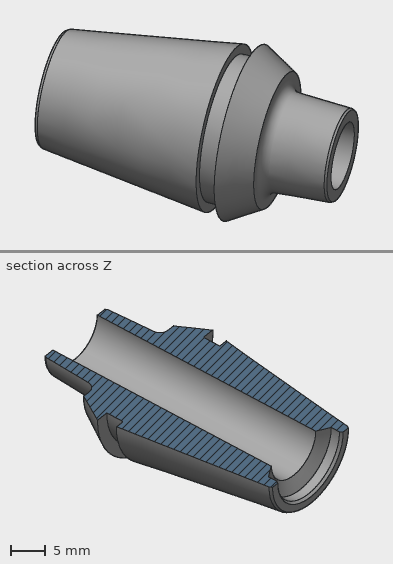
import cadquery as cq
import math

length = 44.0

rear_taper_end = 26.0
rear_edge_radius = 8.9
rear_taper_angle = 8.0
rear_chamfer_length = 0.45
rear_chamfer_depth = 0.25

groove_width = 3.0
groove_radius = 11.0
collar_radius = 13.1
collar_length = 5.0
collar_angle = 30.0

nose_tip_radius = 7.0
nose_angle = 3.2
nose_fillet = 1.5
tip_chamfer_length = 0.35
tip_chamfer_depth = 0.18

bore_radius = 5.0
pocket_radius = 7.1
pocket_depth = 2.0
pocket_cone_angle = 60.0
entry_chamfer_length = 0.45
entry_chamfer_depth = 0.3


def rise(run, angle):
    """Change in radius along a taper, with the angle measured from the axis."""
    return run * math.tan(math.radians(angle))


rear_taper_radius = rear_edge_radius + rise(rear_taper_end - rear_chamfer_length, rear_taper_angle)
collar_start = rear_taper_end + groove_width
collar_end = collar_start + collar_length
collar_end_radius = collar_radius - rise(collar_length, collar_angle)
tip_chamfer_start = length - tip_chamfer_length
pocket_cone_end = pocket_depth + (pocket_radius - bore_radius) / math.tan(math.radians(pocket_cone_angle))

nose_slope = math.radians(nose_angle)
fillet_end = collar_end + nose_fillet * (1 - math.sin(nose_slope))
fillet_end_radius = nose_tip_radius + rise(tip_chamfer_start - fillet_end, nose_angle)
fillet_center_x = collar_end + nose_fillet
fillet_center_radius = fillet_end_radius + nose_fillet * math.cos(nose_slope)
fillet_mid_angle = (math.pi / 2 - nose_slope) / 2
fillet_mid = (
    fillet_center_x - nose_fillet * math.cos(fillet_mid_angle),
    fillet_center_radius - nose_fillet * math.sin(fillet_mid_angle),
)


def turn(profile):
    """Revolve a closed half profile a full turn about the X axis."""
    return profile.close().revolve(360, (0, 0, 0), (1, 0, 0))


def make_body():
    return turn(
        cq.Workplane("XY")
        .moveTo(0, 0)
        .lineTo(0, rear_edge_radius - rear_chamfer_depth)
        .lineTo(rear_chamfer_length, rear_edge_radius)
        .lineTo(rear_taper_end, rear_taper_radius)
        .lineTo(rear_taper_end, groove_radius)
        .lineTo(collar_start, groove_radius)
        .lineTo(collar_start, collar_radius)
        .lineTo(collar_end, collar_end_radius)
        .lineTo(collar_end, fillet_center_radius)
        .threePointArc(fillet_mid, (fillet_end, fillet_end_radius))
        .lineTo(tip_chamfer_start, nose_tip_radius)
        .lineTo(length, nose_tip_radius - tip_chamfer_depth)
        .lineTo(length, 0)
    )


def make_bore():
    """Through bore with a chamfered, cone-bottomed pocket at the rear face."""
    return turn(
        cq.Workplane("XY")
        .moveTo(0, 0)
        .lineTo(0, pocket_radius + entry_chamfer_depth)
        .lineTo(entry_chamfer_length, pocket_radius)
        .lineTo(pocket_depth, pocket_radius)
        .lineTo(pocket_cone_end, bore_radius)
        .lineTo(length, bore_radius)
        .lineTo(length, 0)
    )


result = make_body().cut(make_bore())